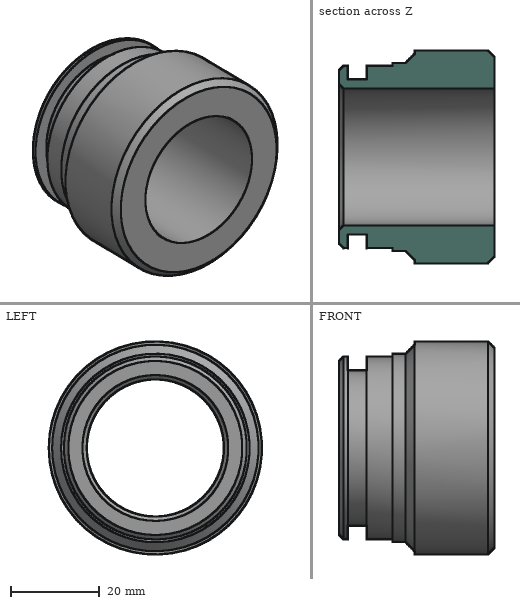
import cadquery as cq

body_radius = 24.0
cone_large_radius = 23.25
collar_radius = 21.2
spigot_radius = 20.6
groove_radius = 17.5
bore_radius = 15.4

groove_start = 2.0
groove_end = 6.25
collar_start = 12.0
cone_start = 15.0
body_start = 17.0
total_length = 35.0

spigot_chamfer = 1.0
bore_chamfer = 1.0
body_chamfer = 1.5


def outer_body():
    """Revolve the stepped, grooved outer outline about the X axis."""
    outline = [
        (0, 0),
        (0, spigot_radius - spigot_chamfer),
        (spigot_chamfer, spigot_radius),
        (groove_start, spigot_radius),
        (groove_start, groove_radius),
        (groove_end, groove_radius),
        (groove_end, spigot_radius),
        (collar_start, spigot_radius),
        (collar_start, collar_radius),
        (cone_start, collar_radius),
        (body_start, cone_large_radius),
        (body_start, body_radius),
        (total_length - body_chamfer, body_radius),
        (total_length, body_radius - body_chamfer),
        (total_length, 0),
    ]
    return cq.Workplane("XY").polyline(outline).close().revolve(360, (0, 0, 0), (1, 0, 0))


def bore():
    """Through bore with a chamfered mouth at the spigot end."""
    outline = [
        (0, 0),
        (0, bore_radius + bore_chamfer),
        (bore_chamfer, bore_radius),
        (total_length, bore_radius),
        (total_length, 0),
    ]
    return cq.Workplane("XY").polyline(outline).close().revolve(360, (0, 0, 0), (1, 0, 0))


result = outer_body().cut(bore())